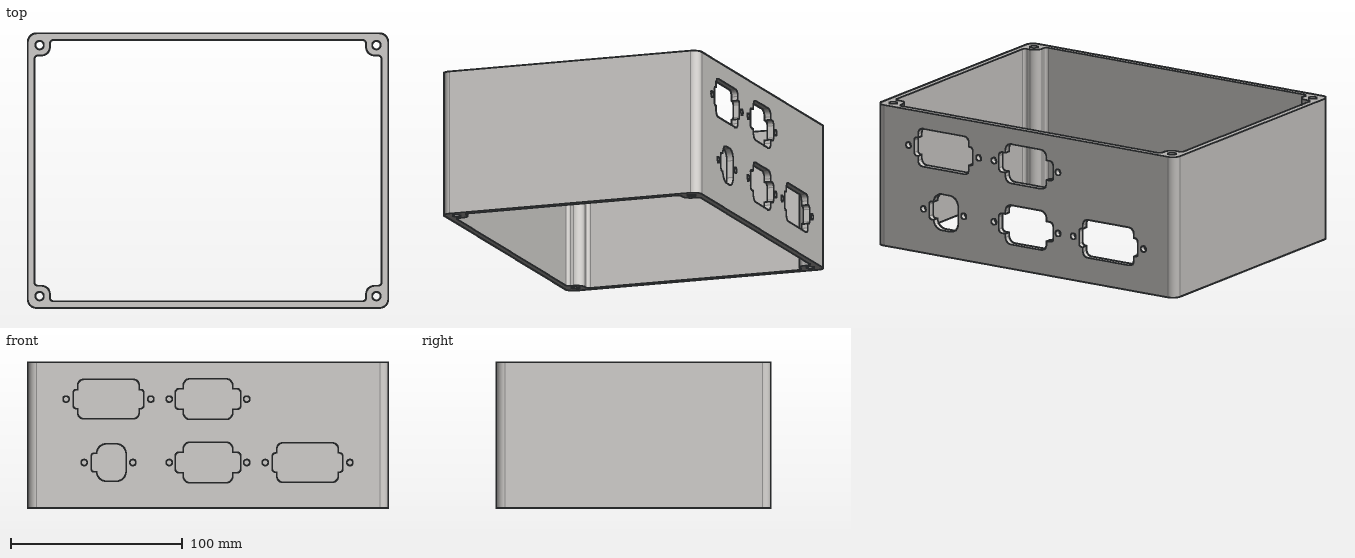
import cadquery as cq

length = 210.0
width = 160.0
height = 85.0
wall = 4.0
outer_corner_radius = 5.0

post_reach = 13.0
post_radius = 5.0
post_blend_radius = 2.0
post_hole_inset = 7.0
post_hole_diameter = 4.8

upper_row_z = 21.0
lower_row_z = -16.0
side_column_x = 58.0
mount_hole_diameter = 3.5
cut_depth = 2 * wall

wide_body = (35.7, 22.9, 3.4)
wide_ears = (41.2, 11.1, 1.9)
wide_hole_spacing = 49.4

medium_body = (28.8, 23.7, 4.0)
medium_ears = (38.2, 12.0, 2.3)
medium_hole_spacing = 45.2

small_body = (17.2, 21.8, 5.9)
small_body_shift = 1.7
small_ear_reach = 3.2
small_ear_height = 11.0
small_ear_radius = 1.9
small_hole_spacing = 28.4


def upright_block(size_x, size_y):
    """Full-height rectangular block centred on the origin."""
    return cq.Workplane("XY").box(size_x, size_y, height)


def rounded_cutter(x, z, size):
    """Block through the front wall with its corners rounded."""
    block_width, block_height, corner_radius = size
    block = cq.Workplane("XY").box(block_width, cut_depth, block_height)
    block = block.edges("|Y").fillet(corner_radius)
    return block.translate((x, (wall - width) / 2, z))


def mount_hole_cutters(x, z, spacing):
    """Pair of round cutters, one on either side of a connector opening."""
    return (
        cq.Workplane("XZ", origin=(x, (wall - width + cut_depth) / 2, z))
        .pushPoints([(-spacing / 2, 0), (spacing / 2, 0)])
        .circle(mount_hole_diameter / 2)
        .extrude(cut_depth)
    )


def eared_connector(x, z, body, ears, hole_spacing):
    """Cutter for a connector with an ear on both sides."""
    opening = rounded_cutter(x, z, body).union(rounded_cutter(x, z, ears))
    return opening.union(mount_hole_cutters(x, z, hole_spacing))


def wide_connector(x, z):
    return eared_connector(x, z, wide_body, wide_ears, wide_hole_spacing)


def medium_connector(x, z):
    return eared_connector(x, z, medium_body, medium_ears, medium_hole_spacing)


def small_connector(x, z):
    """Cutter for the narrow connector with a single ear."""
    body_x = x + small_body_shift
    body_half_width = small_body[0] / 2
    ear_width = small_ear_reach + body_half_width
    ear_x = body_x - ear_width / 2
    ear = (ear_width, small_ear_height, small_ear_radius)
    opening = rounded_cutter(body_x, z, small_body).union(rounded_cutter(ear_x, z, ear))
    return opening.union(mount_hole_cutters(x, z, small_hole_spacing))


def cavity():
    """Inner space of the frame, leaving a rounded post in each corner."""
    space = upright_block(length - 2 * wall, width - 2 * wall)
    post = upright_block(2 * post_reach, 2 * post_reach).edges("|Z").fillet(post_radius)
    for corner_x in (-length / 2, length / 2):
        for corner_y in (-width / 2, width / 2):
            space = space.cut(post.translate((corner_x, corner_y, 0)))
    return space.edges("|Z and (<X or >X or <Y or >Y)").fillet(post_blend_radius)


def post_holes():
    """Screw holes running the full height of the posts."""
    return (
        cq.Workplane("XY", origin=(0, 0, -height / 2))
        .rect(length - 2 * post_hole_inset, width - 2 * post_hole_inset, forConstruction=True)
        .vertices()
        .circle(post_hole_diameter / 2)
        .extrude(height)
    )


result = upright_block(length, width).edges("|Z").fillet(outer_corner_radius)
result = result.cut(cavity()).cut(post_holes())

result = result.cut(wide_connector(-side_column_x, upper_row_z))
result = result.cut(wide_connector(side_column_x, lower_row_z))
for row_z in (upper_row_z, lower_row_z):
    result = result.cut(medium_connector(0, row_z))
result = result.cut(small_connector(-side_column_x, lower_row_z))